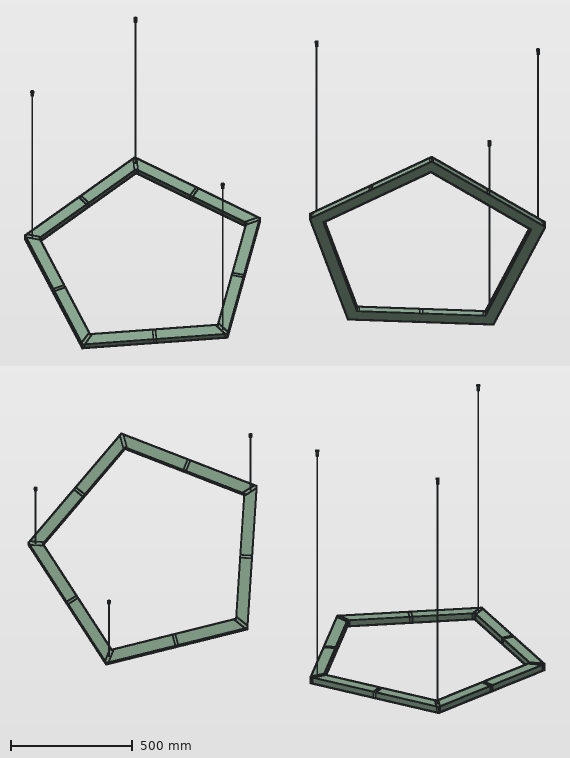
import cadquery as cq
import math


SIDES = 5
SIDE_LENGTH = 600.0
RING_WIDTH = 50.0
RING_HEIGHT = 29.5
OUTER_APOTHEM = SIDE_LENGTH / (2 * math.tan(math.pi / SIDES))
INNER_APOTHEM = OUTER_APOTHEM - RING_WIDTH
CORNER_ANGLE = 360.0 / SIDES

WALL = 1.5
ROOF = 1.5
FLOOR = 2.0
ROOF_UNDERSIDE = RING_HEIGHT - ROOF

CORNER_BAND_WIDTH = 15.0
MIDDLE_BAND_WIDTH = 12.0
RIB_DEPTH = 1.0
BAND_REACH = 2 * RING_WIDTH

TOTAL_HEIGHT = 1053.0
SUSPENSION_ANGLES = (0.0, 2 * CORNER_ANGLE, 3 * CORNER_ANGLE)
WIRE_DIAMETER = 1.2
CAP_DIAMETER = 11.0
CAP_THICKNESS = 1.5
BARREL_DIAMETER = 9.0
BARREL_LENGTH = 20.0
TIP_DIAMETER = 4.0
TIP_LENGTH = 3.0
GRIPPER_BOTTOM = TOTAL_HEIGHT - CAP_THICKNESS - BARREL_LENGTH - TIP_LENGTH


def corner_radius(apothem):
    """Distance from the centre to a pentagon corner."""
    return apothem / math.cos(math.pi / SIDES)


def pentagon(apothem, bottom, top):
    """Pentagonal prism with one corner on +X."""
    diameter = 2 * corner_radius(apothem)
    return cq.Workplane("XY").workplane(offset=bottom).polygon(SIDES, diameter).extrude(top - bottom)


def ring(bottom, top, inset=0.0):
    """Pentagonal ring, narrowed by the inset on its outer and inner sides."""
    outer = pentagon(OUTER_APOTHEM - inset, bottom, top)
    return outer.cut(pentagon(INNER_APOTHEM + inset, bottom, top))


def radial_block(angle, radius, width, bottom, top):
    """Block that crosses the ring along a radius at the given angle."""
    block = cq.Workplane("XY").box(BAND_REACH, width, top - bottom, centered=(True, True, False))
    return block.translate((radius, 0, bottom)).rotate((0, 0, 0), (0, 0, 1), angle)


def bands(bottom, top):
    """The blocks of all corner and middle bands."""
    middle_apothem = (OUTER_APOTHEM + INNER_APOTHEM) / 2
    blocks = []
    for index in range(SIDES):
        angle = index * CORNER_ANGLE
        corner = radial_block(angle, corner_radius(middle_apothem), CORNER_BAND_WIDTH, bottom, top)
        middle = radial_block(angle + CORNER_ANGLE / 2, middle_apothem, MIDDLE_BAND_WIDTH, bottom, top)
        blocks += [corner, middle]
    return blocks


def cut_all(body, blocks):
    for block in blocks:
        body = body.cut(block)
    return body


def make_core():
    """Light core inside the frame, notched on top for the ribs under the roof."""
    core = ring(FLOOR, ROOF_UNDERSIDE, WALL)
    return cut_all(core, bands(ROOF_UNDERSIDE - RIB_DEPTH, ROOF_UNDERSIDE))


def make_frame(core):
    """Shell around the core, with windows through its walls between the bands."""
    walls = ring(FLOOR, ROOF_UNDERSIDE).cut(ring(FLOOR, ROOF_UNDERSIDE, WALL))
    windows = cut_all(walls, bands(FLOOR, ROOF_UNDERSIDE))
    return ring(0, RING_HEIGHT).cut(windows).cut(core)


def make_wire():
    """Wire on the Z axis from the top of the frame to the gripper tip."""
    wire = cq.Workplane("XY").workplane(offset=RING_HEIGHT)
    return wire.circle(WIRE_DIAMETER / 2).extrude(GRIPPER_BOTTOM - RING_HEIGHT)


def make_gripper():
    """Ceiling gripper on the Z axis: tip, barrel and cap from the bottom up."""
    gripper = cq.Workplane("XY").workplane(offset=GRIPPER_BOTTOM)
    gripper = gripper.circle(TIP_DIAMETER / 2).extrude(TIP_LENGTH)
    gripper = gripper.faces(">Z").workplane().circle(BARREL_DIAMETER / 2).extrude(BARREL_LENGTH)
    return gripper.faces(">Z").workplane().circle(CAP_DIAMETER / 2).extrude(CAP_THICKNESS)


def at_suspension_point(body, angle):
    """Moves a body from the Z axis to the middle of the ring's corner at the angle."""
    radius = corner_radius((OUTER_APOTHEM + INNER_APOTHEM) / 2)
    return body.translate((radius, 0, 0)).rotate((0, 0, 0), (0, 0, 1), angle)


core = make_core()
frame = make_frame(core)
wires = [at_suspension_point(make_wire(), angle) for angle in SUSPENSION_ANGLES]
grippers = [at_suspension_point(make_gripper(), angle) for angle in SUSPENSION_ANGLES]

result = cq.Compound.makeCompound(
    [
        frame.val(),
        core.val(),
        *[wire.val() for wire in wires],
        *[gripper.val() for gripper in grippers],
    ]
)